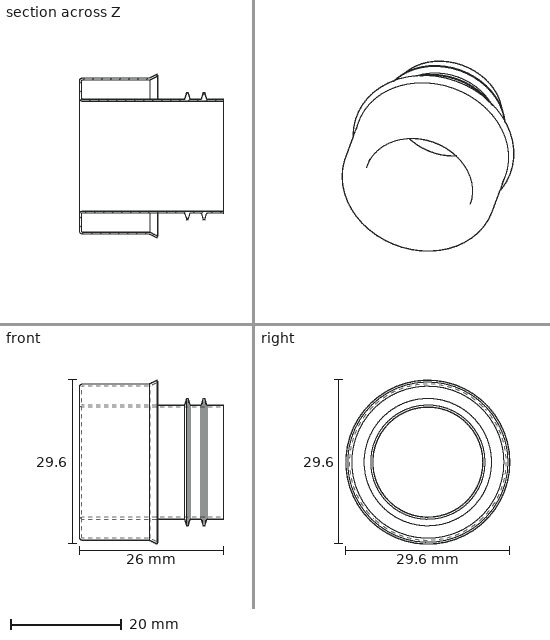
import cadquery as cq
import math

total_length = 26.0
outer_diameter = 29.6
sleeve_diameter = 28.2
bore_diameter = 19.8
tube_diameter = 20.6
wall = (tube_diameter - bore_diameter) / 2
bend_outer_radius = 0.6
bend_inner_radius = bend_outer_radius - wall

flare_start = 12.6
flare_length = 1.4

rib_centers = (19.48, 22.47)
rib_diameter = 22.97
rib_base_width = 1.0
rib_tip_width = 0.3

outer_radius = outer_diameter / 2
sleeve_radius = sleeve_diameter / 2
bore_radius = bore_diameter / 2
tube_radius = tube_diameter / 2
sleeve_inner_radius = sleeve_radius - wall


def revolve_about_x(profile):
    return profile.revolve(360, (0, 0, 0), (1, 0, 0))


def make_shell():
    """Tube and sleeve joined by the front face, with an annular gap open toward +X."""
    flare_angle = math.atan2(outer_radius - sleeve_radius, flare_length)
    lip_x = flare_start + flare_length
    lip_inner_x = lip_x + wall * math.sin(flare_angle)
    lip_inner_radius = outer_radius - wall * math.cos(flare_angle)
    flare_inner_start = flare_start + wall * math.tan(flare_angle / 2)
    profile = (
        cq.Workplane("XY")
        .moveTo(total_length, bore_radius)
        .lineTo(bend_outer_radius, bore_radius)
        .radiusArc((0, bore_radius + bend_outer_radius), bend_outer_radius)
        .lineTo(0, sleeve_radius - bend_outer_radius)
        .radiusArc((bend_outer_radius, sleeve_radius), bend_outer_radius)
        .lineTo(flare_start, sleeve_radius)
        .lineTo(lip_x, outer_radius)
        .lineTo(lip_inner_x, lip_inner_radius)
        .lineTo(flare_inner_start, sleeve_inner_radius)
        .lineTo(bend_outer_radius, sleeve_inner_radius)
        .radiusArc((wall, sleeve_inner_radius - bend_inner_radius), -bend_inner_radius)
        .lineTo(wall, tube_radius + bend_inner_radius)
        .radiusArc((bend_outer_radius, tube_radius), -bend_inner_radius)
        .lineTo(total_length, tube_radius)
        .close()
    )
    return revolve_about_x(profile)


def make_rib(center):
    """Tapered ring whose root is buried in the tube wall."""
    root_radius = tube_radius - wall / 2
    half_base = rib_base_width / 2
    half_tip = rib_tip_width / 2
    profile = cq.Workplane("XY").polyline([
        (center - half_base, root_radius),
        (center - half_base, tube_radius),
        (center - half_tip, rib_diameter / 2),
        (center + half_tip, rib_diameter / 2),
        (center + half_base, tube_radius),
        (center + half_base, root_radius),
    ]).close()
    return revolve_about_x(profile)


result = make_shell()
for rib_center in rib_centers:
    result = result.union(make_rib(rib_center))